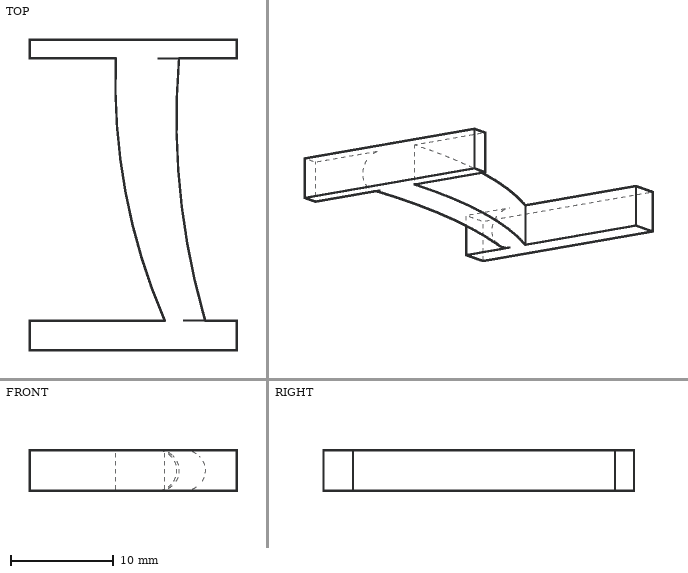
import cadquery as cq
import math

flange_width = 20.29
total_length = 30.4
height = 4.0

upper_flange_thickness = 1.85
lower_flange_thickness = 2.9
upper_web_y = total_length / 2 - upper_flange_thickness
lower_web_y = -total_length / 2 + lower_flange_thickness
web_length = upper_web_y - lower_web_y
middle_web_y = (upper_web_y + lower_web_y) / 2

flat_side_radius = 58.64
flat_side_center = (56.88, 11.0)
round_side_radius = 72.16
round_side_center = (74.4, 7.37)

edge_radius = height / 2


def arc_point(center, radius, y):
    """Point on the -X side of a circle at the given Y."""
    center_x, center_y = center
    return (center_x - math.sqrt(radius**2 - (y - center_y) ** 2), y)


def make_flange(thickness, center_y):
    return cq.Workplane("XY").box(flange_width, thickness, height).translate((0, center_y, 0))


def make_web():
    """Flat-topped web between the two arcs, narrowing towards -Y."""

    def flat_side(y):
        return arc_point(flat_side_center, flat_side_radius, y)

    def round_side(y):
        return arc_point(round_side_center, round_side_radius, y)

    return (
        cq.Workplane("XY")
        .workplane(offset=-height / 2)
        .moveTo(*flat_side(lower_web_y))
        .threePointArc(flat_side(middle_web_y), flat_side(upper_web_y))
        .lineTo(*round_side(upper_web_y))
        .threePointArc(round_side(middle_web_y), round_side(lower_web_y))
        .close()
        .extrude(height)
    )


def make_round_edge():
    """Half-round bead revolved about the arc centre and trimmed at the flanges."""
    center_x, center_y = round_side_center
    inner_x = center_x - round_side_radius
    ring = (
        cq.Workplane("XZ", origin=(0, center_y, 0))
        .moveTo(inner_x, -edge_radius)
        .threePointArc((inner_x + edge_radius, 0), (inner_x, edge_radius))
        .close()
        .revolve(360, (center_x, 0), (center_x, 1))
    )
    gap = cq.Workplane("XY").box(flange_width, web_length, height).translate((0, middle_web_y, 0))
    return ring.intersect(gap)


upper_flange = make_flange(upper_flange_thickness, upper_web_y + upper_flange_thickness / 2)
lower_flange = make_flange(lower_flange_thickness, lower_web_y - lower_flange_thickness / 2)

result = upper_flange.union(lower_flange).union(make_web()).union(make_round_edge())